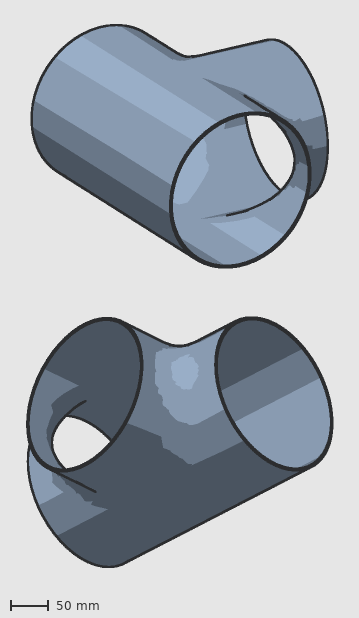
import cadquery as cq

run_length = 356.0
branch_reach = 178.0
outer_diameter = 219.0
bore_diameter = 213.2
wall = (outer_diameter - bore_diameter) / 2
outer_crotch_radius = 45.0
inner_crotch_radius = outer_crotch_radius + wall


def blended_tee(diameter, crotch_radius):
    """Solid tee of two equal cylinders, rounded where the branch leaves the run."""
    run = cq.Workplane("YZ").circle(diameter / 2).extrude(run_length / 2, both=True)
    branch = cq.Workplane("XZ").circle(diameter / 2).extrude(-branch_reach)
    mitre_seams = run.union(branch).edges("%ELLIPSE")
    return mitre_seams.fillet(crotch_radius)


outside = blended_tee(outer_diameter, outer_crotch_radius)
bore = blended_tee(bore_diameter, inner_crotch_radius)
result = outside.cut(bore)